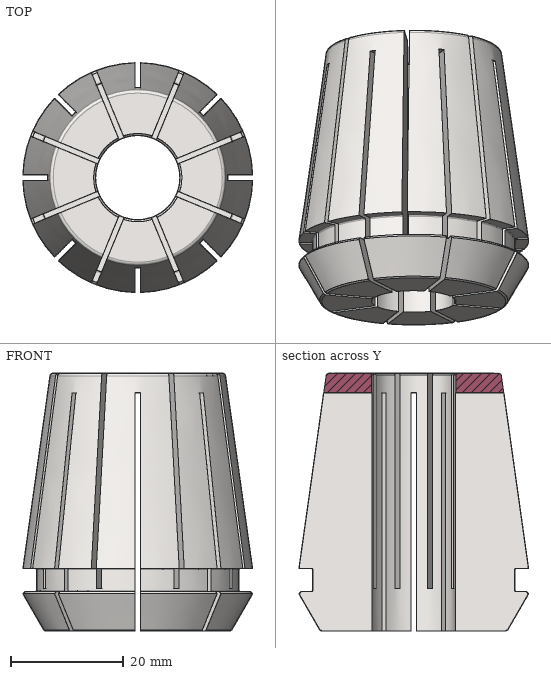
import cadquery as cq
import math

total_height = 46.0
outer_diameter = 41.0
bore_diameter = 15.0

cone_half_angle = 8.0
cone_bottom_z = 11.15
top_edge_radius = 0.6

neck_diameter = 36.05
groove_bottom_z = 7.1
groove_corner_radius = 0.2

nose_half_angle = 30.0
rim_chamfer_height = 0.4
rim_chamfer_width = 0.4
nose_edge_chamfer = 0.25

bore_edge_chamfer = 0.35

slits_per_end = 8
slit_width = 0.95
lower_slit_top_z = 42.45
upper_slit_bottom_z = 7.6

outer_radius = outer_diameter / 2
neck_radius = neck_diameter / 2
bore_radius = bore_diameter / 2
slit_pitch = 360 / slits_per_end
rim_z = groove_bottom_z - rim_chamfer_height


def cone_radius(z):
    """Radius of the clamping cone at height z."""
    return outer_radius - (z - cone_bottom_z) * math.tan(math.radians(cone_half_angle))


def nose_radius(z):
    """Radius of the nose cone at height z."""
    return outer_radius - (rim_z - z) * math.tan(math.radians(nose_half_angle))


def circle_at(radius, z):
    """Selector for the circular edge of the given radius at height z."""
    margin = 0.05
    reach = radius + margin
    hole = radius - margin
    at_height = cq.selectors.BoxSelector(
        (-reach, -reach, z - margin), (reach, reach, z + margin), boundingbox=True
    )
    within_hole = cq.selectors.BoxSelector(
        (-hole, -hole, z - margin), (hole, hole, z + margin), boundingbox=True
    )
    return at_height - within_hole


def collet_body():
    """Turned body: half section revolved about Z, then its edges and groove corners rounded."""
    section = [
        (bore_radius, 0),
        (nose_radius(0) - nose_edge_chamfer, 0),
        (nose_radius(nose_edge_chamfer), nose_edge_chamfer),
        (outer_radius, rim_z),
        (outer_radius - rim_chamfer_width, groove_bottom_z),
        (neck_radius, groove_bottom_z),
        (neck_radius, cone_bottom_z),
        (outer_radius, cone_bottom_z),
        (cone_radius(total_height), total_height),
        (bore_radius + bore_edge_chamfer, total_height),
        (bore_radius, total_height - bore_edge_chamfer),
    ]
    body = cq.Workplane("XZ").polyline(section).close().revolve(360, (0, 0, 0), (0, 1, 0))
    body = body.edges(circle_at(cone_radius(total_height), total_height)).fillet(top_edge_radius)
    for corner_z in (groove_bottom_z, cone_bottom_z):
        body = body.edges(circle_at(neck_radius, corner_z)).fillet(groove_corner_radius)
    return body


def cut_slits(body, bottom_z, top_z, start_angle):
    """Cut a ring of radial slits from the bore to the outside."""
    for index in range(slits_per_end):
        slit = (
            cq.Workplane("XY")
            .workplane(offset=bottom_z)
            .rect(outer_diameter, slit_width)
            .extrude(top_z - bottom_z)
            .translate((outer_radius, 0, 0))
            .rotate((0, 0, 0), (0, 0, 1), start_angle + index * slit_pitch)
        )
        body = body.cut(slit)
    return body


result = collet_body()
result = cut_slits(result, 0, lower_slit_top_z, 0)
result = cut_slits(result, upper_slit_bottom_z, total_height, slit_pitch / 2)